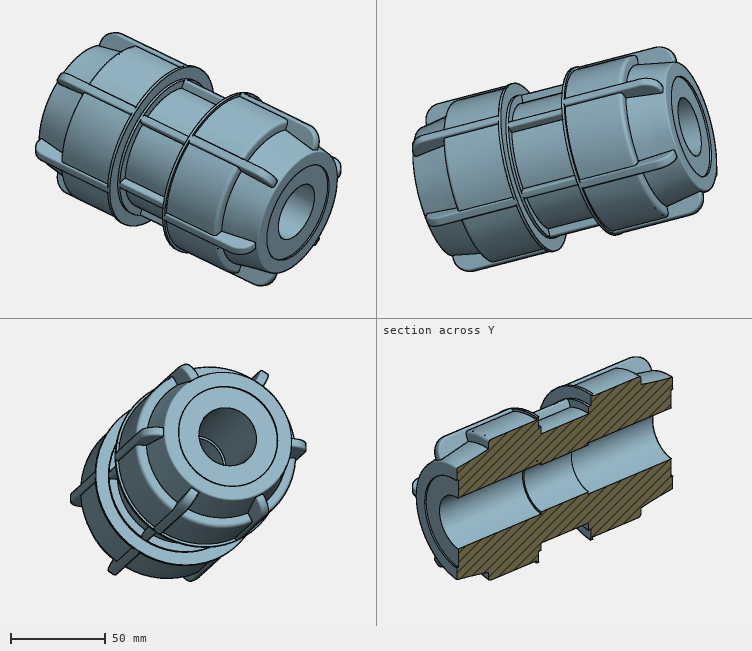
import cadquery as cq
half_length = 73.0
rib_count = 6
rib_root_radius = 30.0

flange_radius = 92.0 / 2
flange_inner_end = 17.5
flange_thickness = 1.5
flange_outer_end = flange_inner_end + flange_thickness
body_radius = 44.6
body_end = 51.6
body_fillet = 2.0
cone_large_radius = 78.2 / 2
cone_small_radius = 35.5
nose_fillet = 1.0
cone_end = half_length - nose_fillet

nut_rib_thickness = 5.0
nut_rib_end = 71.5
nut_rib_corner = 9.0
nut_rib_edge_fillet = 1.0

shoulder_radius = 78.2 / 2
shoulder_end = 16.0
barrel_radius = 34.6
barrel_rib_thickness = 4.3
barrel_rib_fillet = 1.0

recess_radius = 55.0 / 2
recess_depth = 1.0
pipe_bore_radius = 32.0 / 2
stop_bore_radius = 29.44 / 2


def revolve_about_x(profile):
    """Full turn about X of a closed profile drawn as (X, radius) in the XY plane."""
    return profile.revolve(360, (0, 0, 0), (1, 0, 0))


def around_axis(rib):
    """Evenly spaced copies of a rib about the X axis."""
    pitch = 360 / rib_count
    return [rib.rotate((0, 0, 0), (1, 0, 0), i * pitch) for i in range(rib_count)]


def rib_slab(x_start, x_end, thickness):
    """Flat slab on the +Y side, from inside the wall to the flange radius, that a rib is cut from."""
    height = flange_radius - rib_root_radius
    slab = cq.Workplane("XY").box(x_end - x_start, height, thickness, centered=(False, False, True))
    return slab.translate((x_start, rib_root_radius, 0))


def nut_rib():
    """Grip rib on the +Y side: a slab of a revolved outline, with rounded outer edges."""
    corner_start = nut_rib_end - nut_rib_corner
    corner_radius = flange_radius - nut_rib_corner
    outline = (
        cq.Workplane("XY")
        .moveTo(flange_outer_end, 0)
        .lineTo(flange_outer_end, flange_radius)
        .lineTo(corner_start, flange_radius)
        .radiusArc((nut_rib_end, corner_radius), nut_rib_corner)
        .lineTo(nut_rib_end, 0)
        .close()
    )
    rib = revolve_about_x(outline).intersect(rib_slab(flange_outer_end, nut_rib_end, nut_rib_thickness))
    outer_edges = cq.selectors.BoxSelector(
        (flange_outer_end + 1, rib_root_radius + 1, -nut_rib_thickness),
        (nut_rib_end + 1, flange_radius + 1, nut_rib_thickness),
    )
    return rib.faces("<Z or >Z").edges(outer_edges).fillet(nut_rib_edge_fillet)


def nut_end():
    """The +X end: shoulder, flange, nut body, tapered nose and pipe socket, without ribs."""
    profile = (
        cq.Workplane("XY")
        .moveTo(shoulder_end, pipe_bore_radius)
        .lineTo(shoulder_end, shoulder_radius)
        .lineTo(flange_inner_end, shoulder_radius)
        .lineTo(flange_inner_end, flange_radius)
        .lineTo(flange_outer_end, flange_radius)
        .lineTo(flange_outer_end, body_radius)
        .lineTo(body_end - body_fillet, body_radius)
        .radiusArc((body_end, body_radius - body_fillet), body_fillet)
        .lineTo(body_end, cone_large_radius)
        .lineTo(cone_end, cone_small_radius)
        .radiusArc((half_length, cone_small_radius - nose_fillet), nose_fillet)
        .lineTo(half_length, recess_radius)
        .lineTo(half_length - recess_depth, recess_radius)
        .lineTo(half_length - recess_depth, pipe_bore_radius)
        .close()
    )
    return revolve_about_x(profile)


def barrel_rib():
    """Barrel rib on the +Y side, level with the shoulders, with rounded outer edges."""
    envelope = revolve_about_x(
        cq.Workplane("XY")
        .moveTo(-shoulder_end, 0)
        .lineTo(-shoulder_end, shoulder_radius)
        .lineTo(shoulder_end, shoulder_radius)
        .lineTo(shoulder_end, 0)
        .close()
    )
    rib = envelope.intersect(rib_slab(-shoulder_end, shoulder_end, barrel_rib_thickness))
    return rib.faces("<Z or >Z").edges(">Y").fillet(barrel_rib_fillet)


def barrel():
    """Middle tube between the shoulders, without ribs."""
    profile = (
        cq.Workplane("XY")
        .moveTo(-shoulder_end, stop_bore_radius)
        .lineTo(-shoulder_end, barrel_radius)
        .lineTo(shoulder_end, barrel_radius)
        .lineTo(shoulder_end, stop_bore_radius)
        .close()
    )
    return revolve_about_x(profile)


end = nut_end()
core = barrel().union(end).union(end.mirror("YZ"))

grip_rib = nut_rib()
ribs = around_axis(grip_rib) + around_axis(grip_rib.mirror("YZ")) + around_axis(barrel_rib())
all_ribs = cq.Workplane().newObject([rib.val() for rib in ribs])
result = core.union(all_ribs, clean=False)